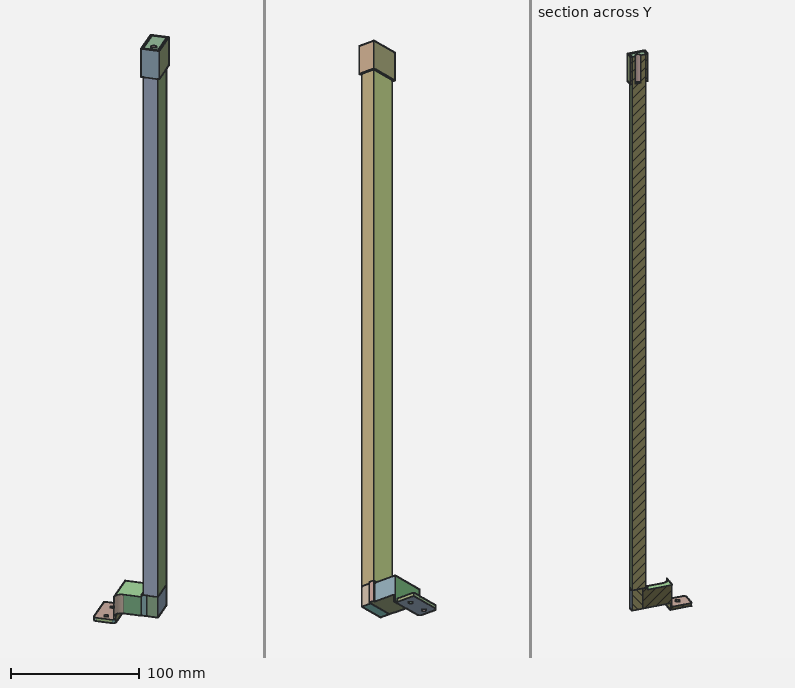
import cadquery as cq

tube_x = 38.5
tube_y = 8.0
tube_width = 12.0
tube_depth = 23.5
tube_bottom = 24.0
overall_height = 497.0
end_hole_diameter = 4.5
end_hole_depth = 24.5
end_hole_x = 45.0
end_hole_y = 13.0

sleeve_wall = 1.5
sleeve_height = 24.5

flange_length = 18.0
flange_depth = 29.5
flange_thickness = 3.0
flange_corner_radius = 2.5
flange_hole_diameter = 3.5
flange_hole_x = 9.0
flange_hole_ys = (5.5, 22.0)
web_thickness = 1.5
arm_bottom = 6.0
arm_top = 22.5
arm_front = 7.5
arm_back = 32.0
fillet_radius = 6.0
pad_thickness = 4.5
pad_back = 33.5

tube_right = tube_x + tube_width
web_x = flange_length - web_thickness
web_front = arm_front - fillet_radius
pad_x = tube_x - sleeve_wall
pad_front = tube_y
foot_x = pad_x + pad_thickness


def make_box(x_range, y_range, z_range):
    """Box spanning the given start and end along each axis."""
    size = [end - start for start, end in (x_range, y_range, z_range)]
    corner = (x_range[0], y_range[0], z_range[0])
    return cq.Workplane("XY").box(*size, centered=False).translate(corner)


def make_tube():
    """Bar reaching the full height, with a blind hole in its top end."""
    bar = make_box(
        (tube_x, tube_right), (tube_y, tube_y + tube_depth), (tube_bottom, overall_height)
    )
    hole = (
        cq.Workplane("XY", origin=(end_hole_x, end_hole_y, overall_height))
        .circle(end_hole_diameter / 2)
        .extrude(-end_hole_depth)
    )
    return bar.cut(hole)


def make_sleeve():
    """Open sleeve, flush with the top of the tube."""
    outer = make_box(
        (tube_x - sleeve_wall, tube_right + sleeve_wall),
        (tube_y - sleeve_wall, tube_y + tube_depth + sleeve_wall),
        (overall_height - sleeve_height, overall_height),
    )
    bore = make_box(
        (tube_x, tube_right),
        (tube_y, tube_y + tube_depth),
        (overall_height - sleeve_height, overall_height),
    )
    return outer.cut(bore)


def make_flange():
    """Mounting flange with rounded front corners and two screw holes."""
    flange = make_box((0, flange_length), (0, flange_depth), (0, flange_thickness))
    flange = flange.edges("|Z and <Y").fillet(flange_corner_radius)
    holes = (
        cq.Workplane("XY")
        .pushPoints([(flange_hole_x, y) for y in flange_hole_ys])
        .circle(flange_hole_diameter / 2)
        .extrude(flange_thickness)
    )
    return flange.cut(holes)


def make_arm():
    """Arm whose front face curves outward to meet the web."""
    diagonal = fillet_radius * 0.5 ** 0.5
    curve_x = web_x + fillet_radius
    return (
        cq.Workplane("XY", origin=(0, 0, arm_bottom))
        .moveTo(web_x, web_front)
        .threePointArc((curve_x - diagonal, web_front + diagonal), (curve_x, arm_front))
        .lineTo(pad_x, arm_front)
        .lineTo(pad_x, arm_back)
        .lineTo(web_x, arm_back)
        .close()
        .extrude(arm_top - arm_bottom)
    )


def make_bracket():
    """One-piece bracket: flange, upright web, arm and end pad."""
    web = make_box((web_x, flange_length), (web_front, arm_back), (0, arm_bottom))
    pad = make_box((pad_x, foot_x), (pad_front, pad_back), (arm_bottom, tube_bottom))
    return make_flange().union(web).union(make_arm()).union(pad)


def make_foot():
    """Block under the tube, against the bracket's end pad."""
    return make_box(
        (foot_x, tube_right), (pad_front, tube_y + tube_depth), (arm_bottom, tube_bottom)
    )


tube = make_tube()
sleeve = make_sleeve()
bracket = make_bracket()
foot = make_foot()

result = cq.Compound.makeCompound([tube.val(), sleeve.val(), bracket.val(), foot.val()])